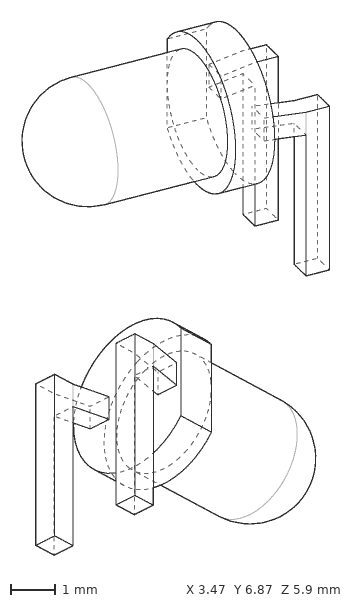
import cadquery as cq
import math


body_radius = 1.5
body_length = 2.8
flange_radius = 1.9
flange_thickness = 1.0
flat_x = -body_radius

lead_width = 0.6
lead_pitch = 2.54
lead_pitch_at_flange = 2.14
leg_center_y = 1.27
leg_bottom_z = -4.0

half_lead = lead_width / 2
leg_back_y = leg_center_y + half_lead
leg_front_y = leg_center_y - half_lead


def make_lens():
    """Flange collar, cylinder and hemispherical dome revolved about Y."""
    flange_front_y = -flange_thickness
    dome_start_y = flange_front_y - body_length
    dome_tip_y = dome_start_y - body_radius
    dome_mid = body_radius * math.cos(math.radians(45))
    lens = (
        cq.Workplane("XY")
        .lineTo(flange_radius, 0)
        .lineTo(flange_radius, flange_front_y)
        .lineTo(body_radius, flange_front_y)
        .lineTo(body_radius, dome_start_y)
        .threePointArc((dome_mid, dome_start_y - dome_mid), (0, dome_tip_y))
        .close()
        .revolve(360, (0, 0, 0), (0, 1, 0))
    )
    return lens.cut(make_flat_cutter())


def make_flat_cutter():
    """Block covering the flange segment beyond the cathode flat."""
    cutter_width = flange_radius + flat_x
    return cq.Workplane("XY").box(
        cutter_width, flange_thickness, 2 * flange_radius
    ).translate((flat_x - cutter_width / 2, -flange_thickness / 2, 0))


def make_lead(side):
    """Lead on one side (-1 or +1): splayed outward, then bent straight down."""
    flange_x = side * lead_pitch_at_flange / 2
    leg_x = side * lead_pitch / 2
    splay = (
        cq.Workplane("XY")
        .workplane(offset=-half_lead)
        .moveTo(flange_x - half_lead, 0)
        .lineTo(flange_x + half_lead, 0)
        .lineTo(leg_x + half_lead, leg_front_y)
        .lineTo(leg_x + half_lead, leg_back_y)
        .lineTo(leg_x - half_lead, leg_back_y)
        .lineTo(leg_x - half_lead, leg_front_y)
        .close()
        .extrude(lead_width)
    )
    leg = (
        cq.Workplane("XY")
        .workplane(offset=leg_bottom_z)
        .center(leg_x, leg_center_y)
        .rect(lead_width, lead_width)
        .extrude(half_lead - leg_bottom_z)
    )
    return splay.union(leg)


result = make_lens()
for lead_side in (-1, 1):
    result = result.union(make_lead(lead_side))